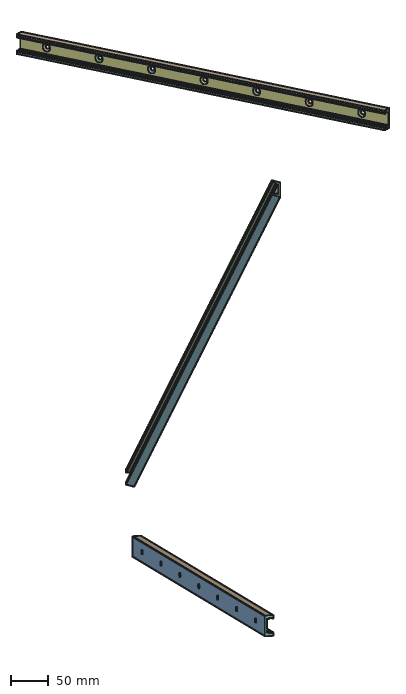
import cadquery as cq

length = 560.0
depth = 12.5
height = 28.0

web_thickness = 3.5
flange_thickness = 3.65
lip_height = 5.0
lip_width = 1.0
lip_chamfer_depth = 0.85
lip_chamfer_height = 1.5
shoulder_height = 5.0
shoulder_width = 2.0
shoulder_slope = 1.0
edge_chamfer = 0.5

hole_count = 7
hole_spacing = length / hole_count
hole_diameter = 5.5
countersink_diameter = 11.0
countersink_angle = 90.0

front_y = -depth / 2
back_y = depth / 2
web_y = back_y - web_thickness
half_height = height / 2
flange_z = half_height - flange_thickness
lip_z = half_height - lip_height
lip_y = front_y + lip_width
shoulder_y = web_y - shoulder_width
shoulder_z = half_height - shoulder_height


def channel():
    """Extrude the lipped C-section, open towards -Y, along X."""
    upper = [
        (back_y, half_height - edge_chamfer),
        (back_y - edge_chamfer, half_height),
        (front_y + edge_chamfer, half_height),
        (front_y, half_height - edge_chamfer),
        (front_y, lip_z + lip_chamfer_height),
        (front_y + lip_chamfer_depth, lip_z),
        (lip_y, lip_z),
        (lip_y, flange_z),
        (shoulder_y - shoulder_slope, flange_z),
        (shoulder_y, shoulder_z),
        (web_y, shoulder_z),
    ]
    lower = [(y, -z) for y, z in reversed(upper)]
    section = cq.Workplane("YZ").polyline(upper + lower).close()
    return section.extrude(length / 2, both=True)


def drill_screw_holes(rail):
    """Drill the holes through the web, countersunk on its inner face."""
    web_face = cq.Workplane("XZ", origin=(0, web_y, 0))
    first_x = -hole_spacing * (hole_count - 1) / 2
    centers = [(first_x + i * hole_spacing, 0) for i in range(hole_count)]
    return (
        rail.copyWorkplane(web_face)
        .pushPoints(centers)
        .cskHole(hole_diameter, countersink_diameter, countersink_angle, depth=web_thickness)
    )


result = drill_screw_holes(channel())